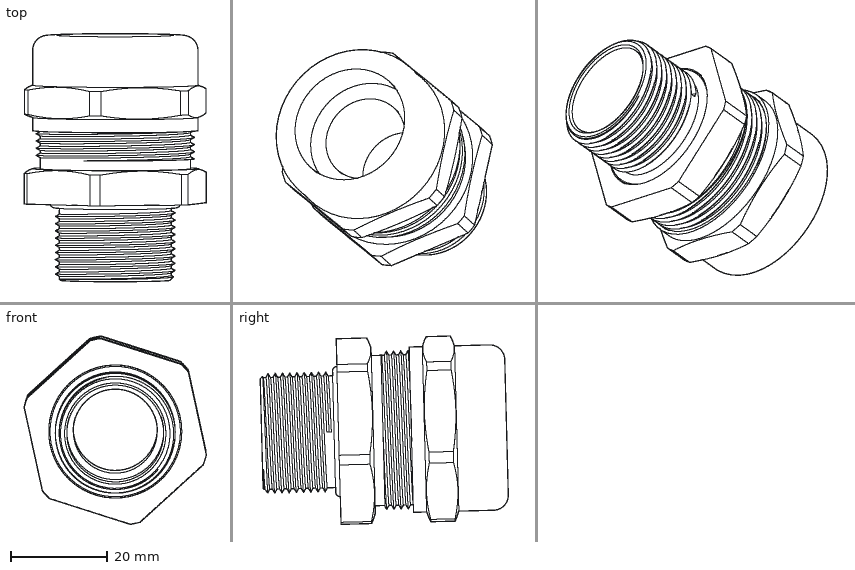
import cadquery as cq
import math

axis_tilt = 1.5
gland_length = 51.05

hex_sides = 6
hex_across_flats = 34.95
hex_angle = -12.3
fitting_corner_diameter = 39.2
nut_corner_diameter = 39.05
hex_chamfer_angle = 20

thread_pitch = 1.5
thread_depth = 0.85
ridge_half_angle = 30
ridge_embed = 0.1

tip_core_diameter = 23.3
tip_edge_chamfer = 0.25
tip_thread_start = -0.95
tip_thread_turns = 10
fitting_hex_bottom = 16.05
fitting_hex_top = 23.25
cap_core_diameter = 31.35
cap_thread_start = 23.8
cap_thread_turns = 8
cap_thread_bottom = 25.3
fitting_top = 37.25
entry_diameter = 20.15
entry_chamfer = 0.45
seat_height = 18.6

ring_outer_diameter = 27.15
ring_protrusion = 0.95
ring_recess_diameter = 27.7

seal_bore_diameter = 17.5
seal_diameter = 27.2
seal_top = 41.4

nut_diameter = 34.5
nut_bottom = 31.2
nut_hex_bottom = 33.95
nut_hex_top = 40.65
nut_top_fillet = 3.15
nut_opening_diameter = 24.25
thread_clearance = 0.1


def cylinder(diameter, bottom, top):
    """Solid cylinder on the gland axis."""
    return cq.Workplane("XY").workplane(offset=bottom).circle(diameter / 2).extrude(top - bottom)


def hexagon(corner_diameter, bottom, top, chamfer_bottom):
    """Hexagon with rounded corners and conical chamfers at the top or at both ends."""
    half_side_angle = 180 / hex_sides
    across_corners = hex_across_flats / math.cos(math.radians(half_side_angle))
    prism = (
        cq.Workplane("XY")
        .workplane(offset=bottom)
        .polygon(hex_sides, across_corners)
        .extrude(top - bottom)
        .rotate((0, 0, 0), (0, 0, 1), hex_angle + half_side_angle)
    )
    corner_radius = corner_diameter / 2
    face_radius = nut_diameter / 2
    drop = (corner_radius - face_radius) * math.tan(math.radians(hex_chamfer_angle))
    profile = cq.Workplane("XZ").moveTo(0, bottom)
    if chamfer_bottom:
        profile = profile.lineTo(face_radius, bottom).lineTo(corner_radius, bottom + drop)
    else:
        profile = profile.lineTo(corner_radius, bottom)
    envelope = (
        profile.lineTo(corner_radius, top - drop)
        .lineTo(face_radius, top)
        .lineTo(0, top)
        .close()
        .revolve(360, (0, 0), (0, 1))
    )
    return prism.intersect(envelope)


def thread_ridge(core_diameter, start, turns):
    """Right-handed helical ridge with a sharp crest, starting on the +X side."""
    core_radius = core_diameter / 2
    root_radius = core_radius - ridge_embed
    crest_radius = core_radius + thread_depth
    half_width = (crest_radius - root_radius) * math.tan(math.radians(ridge_half_angle))
    helix = cq.Wire.makeHelix(thread_pitch, turns * thread_pitch, core_radius)
    ridge = (
        cq.Workplane("XZ")
        .moveTo(root_radius, -half_width)
        .lineTo(crest_radius, 0)
        .lineTo(root_radius, half_width)
        .close()
        .sweep(cq.Workplane(helix), isFrenet=True)
    )
    return ridge.translate((0, 0, start))


ring_tube_radius = (ring_outer_diameter - tip_core_diameter) / 4
ring_center_radius = tip_core_diameter / 2 + ring_tube_radius
ring_center_height = fitting_hex_bottom - ring_protrusion + ring_tube_radius
ring_recess_top = ring_center_height + ring_tube_radius


def make_threaded_tip():
    """Core and ridge of the tip, both trimmed by the 45 degree cone of the edge chamfer."""
    core = cylinder(tip_core_diameter, 0, fitting_hex_top)
    ridge = thread_ridge(tip_core_diameter, tip_thread_start, tip_thread_turns)
    end_radius = tip_core_diameter / 2 - tip_edge_chamfer
    cone = cq.Solid.makeCone(end_radius, end_radius + fitting_hex_top, fitting_hex_top)
    return core.union(ridge).intersect(cq.Workplane(cone))


def make_cap_thread():
    """Ridge of the cap core, trimmed flat at its lower end and at the top of the fitting."""
    crest_diameter = cap_core_diameter + 2 * thread_depth
    envelope = cylinder(crest_diameter + thread_clearance, cap_thread_bottom, fitting_top)
    return thread_ridge(cap_core_diameter, cap_thread_start, cap_thread_turns).intersect(envelope)


def make_fitting():
    """Body with the tip thread, the hexagon and the cap thread."""
    ring_recess = cylinder(ring_recess_diameter, fitting_hex_bottom, ring_recess_top)
    hex_part = hexagon(fitting_corner_diameter, fitting_hex_bottom, fitting_hex_top, False)
    hex_part = hex_part.cut(ring_recess)
    cap_core = cylinder(cap_core_diameter, fitting_hex_top, fitting_top)
    outside = make_threaded_tip().union(hex_part).union(cap_core).union(make_cap_thread())
    entry = cylinder(entry_diameter, 0, seat_height)
    flare_radius = entry_diameter / 2 + entry_chamfer
    entry_flare = cq.Workplane(cq.Solid.makeCone(flare_radius, entry_diameter / 2, entry_chamfer))
    seal_pocket = cylinder(seal_diameter, seat_height, fitting_top)
    return outside.cut(entry).cut(entry_flare).cut(seal_pocket)


def make_sealing_ring():
    """Round-section ring around the tip, part way into the hexagon face."""
    return (
        cq.Workplane("XZ")
        .center(ring_center_radius, ring_center_height)
        .circle(ring_tube_radius)
        .revolve(360, (-ring_center_radius, 0), (-ring_center_radius, 1))
    )


def make_seal():
    """Sleeve clamped between the fitting seat and the lip of the nut."""
    outside = cylinder(seal_diameter, seat_height, seal_top)
    return outside.cut(cylinder(seal_bore_diameter, seat_height, seal_top))


def make_cap_nut():
    """Domed nut that screws over the cap thread."""
    dome = cylinder(nut_diameter, nut_bottom, gland_length).faces(">Z").edges().fillet(nut_top_fillet)
    outside = dome.union(hexagon(nut_corner_diameter, nut_hex_bottom, nut_hex_top, True))
    thread_bore_diameter = cap_core_diameter + 2 * thread_depth + thread_clearance
    thread_bore = cylinder(thread_bore_diameter, nut_bottom, fitting_top)
    seal_pocket = cylinder(seal_diameter, fitting_top, seal_top)
    opening = cylinder(nut_opening_diameter, seal_top, gland_length)
    return outside.cut(thread_bore).cut(seal_pocket).cut(opening)


def place(body):
    """Center one body's solid and turn it from the local Z axis to the tilted gland axis."""
    centered = body.solids().val().translate(cq.Vector(0, 0, -gland_length / 2))
    return centered.rotate((0, 0, 0), (1, 0, 0), axis_tilt - 90)


fitting = place(make_fitting())
sealing_ring = place(make_sealing_ring())
seal = place(make_seal())
cap_nut = place(make_cap_nut())

result = cq.Compound.makeCompound([fitting, sealing_ring, seal, cap_nut])